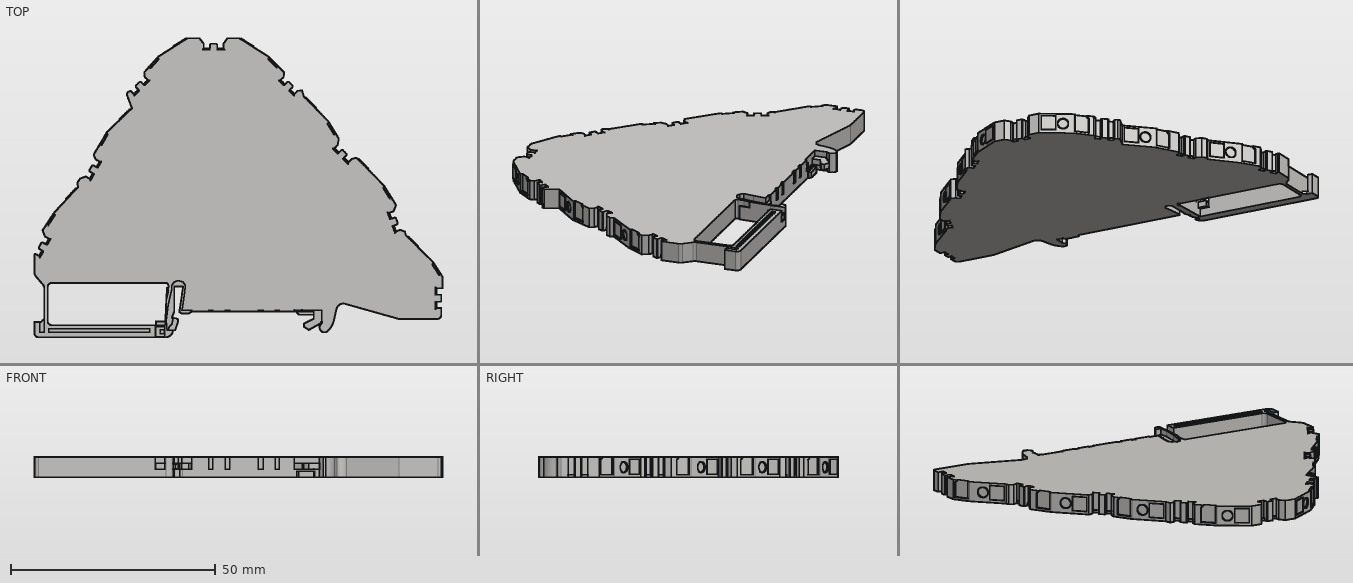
import cadquery as cq
import math

LENGTH = 100.0
HEIGHT = 73.3
THICK = 5.0

PLATE_TOP = 0.6
BLADE_BOTTOM = 2.05
BLADE_TOP = 3.5

SEAT_HALF = 2.4
RIB_HALF = 0.9
RIB_CHAMFER = 0.2
POCKET_DEPTH = 1.1
DEEP_DEPTH = 1.5
DEEP_HALF = 2.7
SKIN = 0.5

BOSS_START = 0.5
BOSS_LENGTH = 3.6
BOSS_HEIGHT = 0.2
BOSS_BOTTOM = 0.8
BOSS_TOP = 4.4
SCREW_DIAMETER = 2.6
SCREW_DEPTH = 0.4
SCREW_FROM_START = 5.9
SCREW_Z = 2.5
LEVER_START = 0.4
LEVER_LENGTH = 3.6
LEVER_DEPTH = 0.5
LEVER_CHAMFER = 0.7

BASE_Y = 6.3
RAIL_HOOK_TOP = 3.8
RAIL_END = 32.2
RAIL_CORNER = 1.0
WALL_LEFT = 2.4
WALL_TOP = 12.2
BODY_SIDE_BOTTOM = 16.0
WINDOW_LEFT = 3.3
WINDOW_RIGHT_TOP = 32.5
WINDOW_RIGHT_BOTTOM = 32.0
WINDOW_BOTTOM = 3.0
WINDOW_TOP = 13.3
WINDOW_FILLET = 1.0
WINDOW_STEP = 0.3
CORNER_FILLET = 0.6
WINDOW_LEDGE_TOP = 12.2

GAP_LEFT = 34.3
GAP_RIGHT = 36.4
GAP_TOP = 12.4
GAP_ROUND = 1.0
BRIDGE_TOP = 13.8
BRIDGE_OVERLAP = 0.3
TIP_TOP = 3.3

END_X = 99.7
END_BOTTOM = 4.5
END_CORNER = 0.9
END_CORNER_TOP = (END_X, END_BOTTOM + END_CORNER)

BASE_RECESS = 0.4
BASE_SLOTS = [(42.7, 43.7), (46.7, 47.8), (54.8, 56.0), (59.0, 60.0)]
LEFT_RECESS = (35.5, 38.6)
RIGHT_RECESS = (63.6, 70.4)
STOP_HEIGHT = 1.5

SLOT_BOTTOM = 4.5
CAVITY_FRONT = 1.2
HOOK_CAVITY_FLOOR = 0.7
LATCH_LEFT = 29.6
LATCH_CLEARANCE = 0.2

LEFT_TIERS = [
    ((37.6, HEIGHT), (30.4, 68.8), [(26.9, 64.9)], (25.3, 62.1), 135, [(22.9, 60.1), (22.6, 59.5)]),
    ((23.9, 56.1), (17.8, 50.3), [(14.5, 44.7)], (13.8, 41.5), 150, [(11.2, 38.9), (10.5, 37.8)]),
    ((10.7, 36.8), (4.9, 30.6), [(2.0, 26.2)], (1.4, 22.6), 150, [(0.0, 20.2)]),
]
RIGHT_TIERS = [
    ((50.1, HEIGHT), (57.3, 68.8), [(61.2, 64.9)], (62.8, 62.1), 45, [(65.6, 60.5), (66.0, 59.0)]),
    ((66.0, 59.0), (72.0, 52.9), [(74.6, 48.6)], (76.0, 45.4), 45, [(78.9, 44.0)]),
    ((78.9, 44.0), (85.6, 37.2), [(88.6, 32.4)], (88.8, 28.6), 20, [(90.8, 25.9), (91.0, 25.0)]),
    ((91.0, 25.0), (97.6, 18.5), [(LENGTH, 14.8), (LENGTH, 12.0)], (END_X, 9.6), 0, [END_CORNER_TOP]),
]
CROWN_NOTCH = (43.9, 71.9)
CROWN_ANGLE = 90
CROWN_LIPS = [(40.4, HEIGHT), (47.3, HEIGHT)]


def prism(points, bottom, top):
    """Polygon in XY extruded between two Z levels."""
    return cq.Workplane("XY").workplane(offset=bottom).polyline(points).close().extrude(top - bottom)


def block(left, right, front, back, bottom, top):
    return cq.Workplane("XY").box(right - left, back - front, top - bottom, centered=False).translate(
        (left, front, bottom)
    )


def placed(shape, point, outward_angle):
    """Move a shape built with +Y pointing outward at the origin onto a side of the body."""
    return shape.rotate((0, 0, 0), (0, 0, 1), outward_angle - 90).translate((point[0], point[1], 0))


def seat_ends(centre, outward_angle):
    """Seat ends in clockwise order around the body."""
    along = math.radians(outward_angle - 90)
    dx = SEAT_HALF * math.cos(along)
    dy = SEAT_HALF * math.sin(along)
    return [(centre[0] - dx, centre[1] - dy), (centre[0] + dx, centre[1] + dy)]


def body_outline():
    """Clockwise outline of the body above the base line."""
    left_side = []
    for start, knee, lips, centre, angle, corners in LEFT_TIERS:
        left_side += [start, knee, *lips, *reversed(seat_ends(centre, angle)), *corners]
    right_side = []
    for start, knee, lips, centre, angle, corners in RIGHT_TIERS:
        right_side += [start, knee, *lips, *seat_ends(centre, angle), *corners]
    crown = [CROWN_LIPS[0], *seat_ends(CROWN_NOTCH, CROWN_ANGLE), CROWN_LIPS[1]]
    points = list(reversed(left_side)) + crown + right_side
    return [p for i, p in enumerate(points) if i == 0 or p != points[i - 1]]


def plate():
    """Full-thickness profile: tiers, right foot, spring gap and foot rail."""
    outline = cq.Workplane("XY").moveTo(0, BODY_SIDE_BOTTOM)
    for point in body_outline():
        outline = outline.lineTo(*point)
    return (
        outline.threePointArc((99.4, 4.8), (END_X - END_CORNER, END_BOTTOM))
        .lineTo(89.2, END_BOTTOM)
        .lineTo(76.4, 8.1)
        .threePointArc((74.8, 8.0), (74.0, 6.9))
        .lineTo(73.4, 4.2)
        .threePointArc((72.8, 2.7), (71.4, 1.2))
        .lineTo(70.8, 1.2)
        .threePointArc((70.1, 1.7), (69.8, 2.7))
        .lineTo(70.4, 3.6)
        .lineTo(70.4, BASE_Y)
        .lineTo(36.2, BASE_Y)
        .threePointArc((35.7, 6.5), (35.6, 6.9))
        .lineTo(GAP_RIGHT, GAP_TOP)
        .threePointArc(((GAP_LEFT + GAP_RIGHT) / 2, GAP_TOP + GAP_ROUND), (GAP_LEFT, GAP_TOP))
        .lineTo(GAP_LEFT, BASE_Y)
        .lineTo(33.7, 4.8)
        .lineTo(34.0, 4.7)
        .lineTo(33.7, 3.3)
        .lineTo(32.9, 2.4)
        .lineTo(32.9, 1.8)
        .lineTo(34.0, 1.8)
        .threePointArc((33.5, 0.6), (RAIL_END, 0))
        .lineTo(RAIL_CORNER, 0)
        .threePointArc((0.3, 0.3), (0, RAIL_CORNER))
        .lineTo(0, RAIL_HOOK_TOP)
        .lineTo(1.6, RAIL_HOOK_TOP)
        .lineTo(WALL_LEFT, 4.5)
        .lineTo(WALL_LEFT, WALL_TOP)
        .threePointArc((2.3, 12.6), (2.1, 12.9))
        .lineTo(0.3, 15.0)
        .threePointArc((0.1, 15.4), (0, BODY_SIDE_BOTTOM))
        .close()
        .extrude(THICK)
    )


def window():
    corners = [
        (WINDOW_LEFT, WINDOW_BOTTOM),
        (WINDOW_RIGHT_BOTTOM, WINDOW_BOTTOM),
        (WINDOW_RIGHT_TOP, WINDOW_TOP),
        (WINDOW_LEFT, WINDOW_TOP),
    ]
    return prism(corners, 0, THICK).edges("|Z and <X").fillet(WINDOW_FILLET)


def notch_pockets(centre, angle):
    cut = None
    for side in (-1, 1):
        pocket = [
            (side * (RIB_HALF - RIB_CHAMFER), SKIN),
            (side * (RIB_HALF - RIB_CHAMFER), 0),
            (side * RIB_HALF, -RIB_CHAMFER),
            (side * RIB_HALF, -POCKET_DEPTH),
            (side * SEAT_HALF, -POCKET_DEPTH),
            (side * SEAT_HALF, SKIN),
        ]
        deep = [
            (side * RIB_HALF, -DEEP_DEPTH),
            (side * DEEP_HALF, -DEEP_DEPTH),
            (side * SEAT_HALF, -POCKET_DEPTH),
            (side * RIB_HALF, -POCKET_DEPTH),
        ]
        both = prism(pocket, 0, THICK).union(prism(deep, PLATE_TOP, THICK))
        cut = both if cut is None else cut.union(both)
    return placed(cut, centre, angle)


def face_frame(start, end, side):
    """Outward angle of the face; side is -1 on the left of the body and 1 on the right."""
    slope = math.degrees(math.atan2(end[1] - start[1], end[0] - start[0]))
    return slope + side * 90


def label_boss(start, knee, side):
    near = side * BOSS_START
    far = side * (BOSS_START + BOSS_LENGTH)
    boss = block(min(near, far), max(near, far), -SKIN, BOSS_HEIGHT, BOSS_BOTTOM, BOSS_TOP)
    return placed(boss, start, face_frame(start, knee, side))


def screw_recess(start, knee, side):
    recess = cq.Workplane("XZ", origin=(side * SCREW_FROM_START, SKIN, SCREW_Z)).circle(SCREW_DIAMETER / 2)
    return placed(recess.extrude(SCREW_DEPTH + SKIN), start, face_frame(start, knee, side))


def lever_pocket(knee, lip, side):
    near = side * LEVER_START
    far = side * (LEVER_START + LEVER_LENGTH)
    outline = [
        (near, PLATE_TOP),
        (far, PLATE_TOP),
        (far, THICK - LEVER_CHAMFER),
        (far - side * LEVER_CHAMFER, THICK),
        (near, THICK),
    ]
    pocket = cq.Workplane("XZ", origin=(0, SKIN, 0)).polyline(outline).close().extrude(LEVER_DEPTH + SKIN)
    return placed(pocket, knee, face_frame(knee, lip, side))


def tier_features(body, tiers, side):
    for start, knee, lips, centre, angle, _ in tiers:
        body = body.union(label_boss(start, knee, side))
        body = body.cut(screw_recess(start, knee, side))
        body = body.cut(lever_pocket(knee, lips[0], side))
        body = body.cut(notch_pockets(centre, angle))
    return body


def arm_recess():
    """Upper recess round the spring gap and over the spring arm."""
    outline = [
        (32.3, 4.1), (32.5, 2.0), (32.5, 1.8), (36.0, 1.8), (36.0, BASE_Y), (36.2, 6.8), (36.7, 10.1),
        (37.0, 12.7), (36.4, 13.6), (35.2, 13.9), (34.3, 13.6), (33.7, 12.8), (33.7, 11.9), (32.8, 8.0),
    ]
    return prism(outline, BLADE_TOP, THICK)


def window_step():
    """Widening of the window's top right corner, with a ledge left standing below the corner."""
    left = WINDOW_RIGHT_BOTTOM
    right = WINDOW_RIGHT_TOP + WINDOW_STEP
    outline = [(left, 9.5), (32.4, 9.5), (right, 11.1), (right, WINDOW_TOP), (left, WINDOW_TOP)]
    upper = prism(outline, BLADE_TOP, THICK)
    corner = block(left, right, WINDOW_LEDGE_TOP, WINDOW_TOP, 0, THICK)
    rounding = cq.selectors.NearestToPointSelector((right, WINDOW_TOP, THICK / 2))
    return upper.union(corner).clean().edges("|Z").edges(rounding).fillet(CORNER_FILLET)


def base_recesses(body):
    """Slots and shallow recesses in the base face, and the sloped pocket beside the claw."""
    for left, right in [*BASE_SLOTS, LEFT_RECESS, RIGHT_RECESS]:
        body = body.cut(block(left, right, BASE_Y - SKIN, BASE_Y + BASE_RECESS, BLADE_BOTTOM, THICK))
    left = RIGHT_RECESS[0]
    return body.cut(prism([(left, BASE_Y), (left, 7.8), (66.4, BASE_Y)], BLADE_BOTTOM, BLADE_TOP))


def blade_parts(body):
    """Pieces of the foot that lie between the two blade levels."""
    into_body = BASE_Y + SKIN
    left, right = LEFT_RECESS
    heel = [(left, into_body), (left, 6.2), (36.1, 5.8), (37.8, 5.8), (38.4, 6.2), (right, into_body)]
    claw = [
        (68.4, into_body), (68.4, 4.6), (66.0, 3.4), (66.0, 2.6), (67.2, 1.8), (69.9, 3.3),
        (70.5, 4.0), (70.5, into_body),
    ]
    for outline in (heel, claw):
        body = body.union(prism(outline, BLADE_BOTTOM, BLADE_TOP))
    bridge_left = GAP_LEFT - BRIDGE_OVERLAP
    bridge_right = GAP_RIGHT + BRIDGE_OVERLAP
    body = body.union(block(bridge_left, bridge_right, GAP_TOP, BRIDGE_TOP, BLADE_BOTTOM, BLADE_TOP))
    arm_tip = [(32.3, 1.7), (34.5, 1.7), (35.2, 3.8), (35.2, 4.4), (34.8, 4.7), (33.7, 4.8), (32.3, 4.8)]
    return body.union(prism(arm_tip, BLADE_BOTTOM, TIP_TOP))


def base_stop():
    """Low stop under the base, open to the bottom face."""
    inside = BASE_Y + SKIN
    return prism([(64.3, inside), (64.3, 6.0), (64.8, 5.5), (68.4, 5.5), (68.9, inside)], 0, STOP_HEIGHT)


def rail_cavities(body):
    body = body.cut(block(3.6, 28.3, CAVITY_FRONT, 2.1, SLOT_BOTTOM, THICK))
    return body.cut(block(1.3, WALL_LEFT, CAVITY_FRONT, 5.2, HOOK_CAVITY_FLOOR, THICK))


def latch(body):
    """Opening near the right end of the rail, holding a pierced latch and a tongue into the window."""
    right = WINDOW_RIGHT_BOTTOM
    inner_left = LATCH_LEFT + LATCH_CLEARANCE
    body = body.cut(block(LATCH_LEFT, right, 0, WINDOW_BOTTOM, BLADE_BOTTOM, THICK))
    pawl = block(inner_left, right, LATCH_CLEARANCE, 2.6, BLADE_BOTTOM, BLADE_TOP)
    pawl = pawl.cut(block(30.8, 31.8, 0.9, 1.9, BLADE_BOTTOM, BLADE_TOP))
    tongue = block(inner_left, RAIL_END, 2.9, 3.9, BLADE_BOTTOM, BLADE_TOP)
    return body.union(pawl).union(tongue)


result = plate().cut(window()).cut(notch_pockets(CROWN_NOTCH, CROWN_ANGLE))
result = tier_features(result, LEFT_TIERS, -1)
result = tier_features(result, RIGHT_TIERS, 1)
result = result.cut(arm_recess()).cut(window_step())
result = base_recesses(result)
result = blade_parts(result)
result = result.union(base_stop())
result = rail_cavities(result)
result = latch(result)